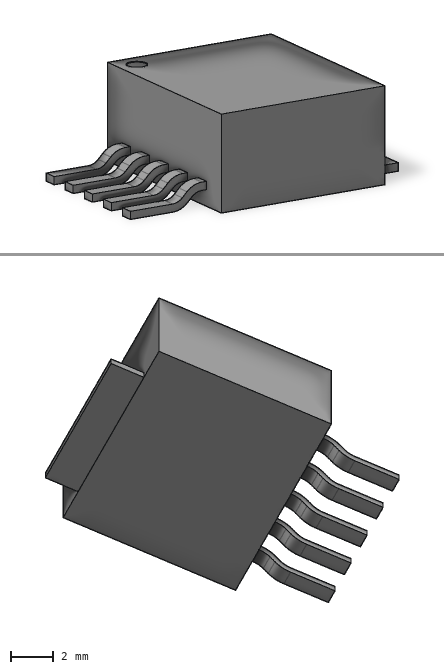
import cadquery as cq
import math

total_length = 14.91
body_width = 10.15
body_height = 4.83
tab_length = 1.71
lead_length = 4.19
body_length = total_length - tab_length - lead_length

tab_width = 6.98
tab_thickness = 0.42

mark_diameter = 1.0
mark_inset = 1.0
mark_depth = 0.05

lead_count = 5
lead_pitch = 1.7
lead_width = 0.72
lead_thickness = 0.4
lead_top = 1.22
shoulder_length = 0.25
bend_angle = math.radians(45)
bend_inner_radius = 0.76

body_front = -body_length / 2
body_back = body_length / 2


def make_housing():
    """Plain block with the pin-one mark sunk into its top."""
    block = cq.Workplane("XY").box(body_width, body_length, body_height, centered=(True, True, False))
    mark = (
        cq.Workplane("XY", origin=(0, 0, body_height - mark_depth))
        .center(-body_width / 2 + mark_inset, body_front + mark_inset)
        .circle(mark_diameter / 2)
        .extrude(mark_depth)
    )
    return block.cut(mark)


def make_tab():
    """Flat plate butting against the back of the housing."""
    return (
        cq.Workplane("XY", origin=(0, body_back, 0))
        .box(tab_width, tab_length, tab_thickness, centered=(True, False, False))
    )


def make_lead(x):
    """Rectangular strip swept along an S-shaped centre line, from the housing to the foot."""
    bend_radius = bend_inner_radius + lead_thickness / 2
    shoulder_z = lead_top - lead_thickness / 2
    foot_z = lead_thickness / 2

    bend_run = bend_radius * math.sin(bend_angle)
    bend_drop = bend_radius * (1 - math.cos(bend_angle))
    half_run = bend_radius * math.sin(bend_angle / 2)
    half_drop = bend_radius * (1 - math.cos(bend_angle / 2))
    slope_drop = shoulder_z - foot_z - 2 * bend_drop
    slope_run = slope_drop / math.tan(bend_angle)

    upper_bend_y = body_front - shoulder_length
    slope_start_y = upper_bend_y - bend_run
    slope_end_y = slope_start_y - slope_run
    foot_start_y = slope_end_y - bend_run
    foot_end_y = body_front - lead_length

    centre_line = (
        cq.Workplane("YZ", origin=(x, 0, 0))
        .moveTo(body_front, shoulder_z)
        .lineTo(upper_bend_y, shoulder_z)
        .threePointArc(
            (upper_bend_y - half_run, shoulder_z - half_drop),
            (slope_start_y, shoulder_z - bend_drop),
        )
        .lineTo(slope_end_y, foot_z + bend_drop)
        .threePointArc(
            (foot_start_y + half_run, foot_z + half_drop),
            (foot_start_y, foot_z),
        )
        .lineTo(foot_end_y, foot_z)
    )
    return (
        cq.Workplane("XZ", origin=(x, body_front, shoulder_z))
        .rect(lead_width, lead_thickness)
        .sweep(centre_line)
    )


housing = make_housing()
tab = make_tab()
leads = [make_lead((i - (lead_count - 1) / 2) * lead_pitch) for i in range(lead_count)]

result = cq.Compound.makeCompound([housing.val(), tab.val(), *[lead.val() for lead in leads]])